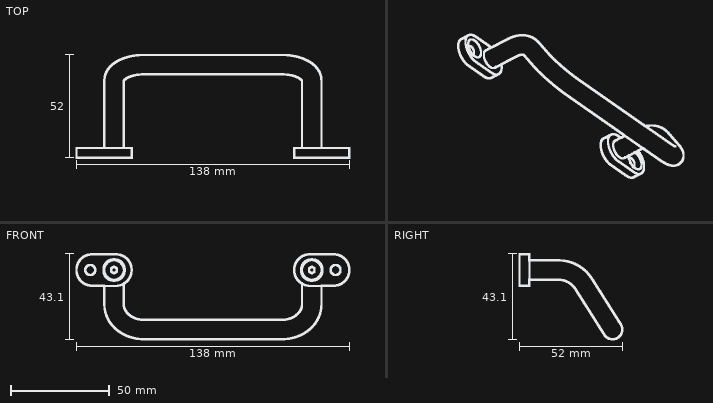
import cadquery as cq
import math


rod_diameter = 10.0
leg_spacing = 99.9
corner_y = 28.0
grip_y = 47.0
grip_drop = 30.1
bend_radius = 15.0

overall_length = 138.0
plate_length = 28.0
plate_height = 16.0
plate_thickness = 5.0
hole_diameter = 5.0
fixing_hole_offset = 12.0
countersink_diameter = 10.9
fixing_countersink_diameter = 10.0

head_diameter = 10.0
shank_diameter = 4.1
screw_length = 16.0
socket_across_flats = 2.9
socket_depth = 1.4
socket_tip_depth = 0.5

leg_x = leg_spacing / 2
plate_center_x = (overall_length - plate_length) / 2
head_depth = (head_diameter - shank_diameter) / 2
countersink_depth = (countersink_diameter - hole_diameter) / 2
fixing_countersink_depth = (fixing_countersink_diameter - hole_diameter) / 2
SIDES = (-1, 1)


def bend_points(before, corner, after):
    """Start, middle and end of the arc that rounds a corner of the rod axis."""
    back = (before - corner).normalized()
    ahead = (after - corner).normalized()
    half_angle = back.getAngle(ahead) / 2
    tangent_length = bend_radius / math.tan(half_angle)
    apex_distance = bend_radius / math.sin(half_angle) - bend_radius
    start = corner + back * tangent_length
    middle = corner + (back + ahead).normalized() * apex_distance
    end = corner + ahead * tangent_length
    return start, middle, end


def rod_axis():
    corners = [
        cq.Vector(-leg_x, plate_thickness, 0),
        cq.Vector(-leg_x, corner_y, 0),
        cq.Vector(-leg_x, grip_y, -grip_drop),
        cq.Vector(leg_x, grip_y, -grip_drop),
        cq.Vector(leg_x, corner_y, 0),
        cq.Vector(leg_x, plate_thickness, 0),
    ]
    edges = []
    position = corners[0]
    for before, corner, after in zip(corners, corners[1:], corners[2:]):
        start, middle, end = bend_points(before, corner, after)
        edges.append(cq.Edge.makeLine(position, start))
        edges.append(cq.Edge.makeThreePointArc(start, middle, end))
        position = end
    edges.append(cq.Edge.makeLine(position, corners[-1]))
    return cq.Wire.assembleEdges(edges)


def cylinder_y(diameter, x, start_y, end_y):
    """Round bar along Y, centred on Z = 0."""
    return cq.Workplane(
        cq.Solid.makeCylinder(diameter / 2, end_y - start_y, cq.Vector(x, start_y, 0), cq.Vector(0, 1, 0))
    )


def cone_y(start_diameter, end_diameter, x, start_y, length):
    """Cone along Y, centred on Z = 0."""
    return cq.Workplane(
        cq.Solid.makeCone(
            start_diameter / 2, end_diameter / 2, length, cq.Vector(x, start_y, 0), cq.Vector(0, 1, 0)
        )
    )


def make_rod():
    end_face = cq.Workplane("XZ", origin=(-leg_x, plate_thickness, 0))
    rod = end_face.circle(rod_diameter / 2).sweep(cq.Workplane(rod_axis()))
    for side in SIDES:
        screw_hole = cylinder_y(shank_diameter, side * leg_x, plate_thickness, screw_length)
        rod = rod.cut(screw_hole)
    return rod


def make_plate(side):
    plate = (
        cq.Workplane("XZ", origin=(side * plate_center_x, 0, 0))
        .slot2D(plate_length, plate_height)
        .extrude(-plate_thickness)
    )
    fixing_hole_x = side * (leg_x + fixing_hole_offset)
    fixing_hole = cylinder_y(hole_diameter, fixing_hole_x, 0, plate_thickness)
    screw_hole = cylinder_y(hole_diameter, side * leg_x, 0, plate_thickness)
    countersink = cone_y(countersink_diameter, hole_diameter, side * leg_x, 0, countersink_depth)
    fixing_countersink = cone_y(
        hole_diameter,
        fixing_countersink_diameter,
        fixing_hole_x,
        plate_thickness - fixing_countersink_depth,
        fixing_countersink_depth,
    )
    return plate.cut(fixing_hole).cut(fixing_countersink).cut(screw_hole).cut(countersink)


def make_screw(side):
    x = side * leg_x
    head = cone_y(head_diameter, shank_diameter, x, 0, head_depth)
    shank = cylinder_y(shank_diameter, x, head_depth, screw_length)
    corner_radius = socket_across_flats / math.sqrt(3)
    socket_corners = [
        (corner_radius * math.sin(i * math.pi / 3), corner_radius * math.cos(i * math.pi / 3)) for i in range(6)
    ]
    socket = (
        cq.Workplane("XZ", origin=(x, 0, 0))
        .polyline(socket_corners)
        .close()
        .extrude(-socket_depth)
    )
    socket_tip = cone_y(socket_across_flats, 0, x, socket_depth, socket_tip_depth)
    return head.union(shank).cut(socket).cut(socket_tip)


rod = make_rod()
plates = [make_plate(side) for side in SIDES]
screws = [make_screw(side) for side in SIDES]

result = cq.Compound.makeCompound([
    rod.solids().val(),
    *[plate.solids().val() for plate in plates],
    *[screw.solids().val() for screw in screws],
])